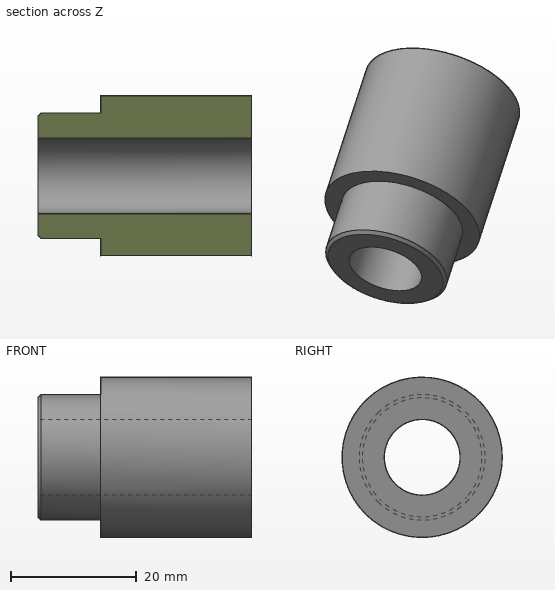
import cadquery as cq

total_length = 34.0
body_diameter = 25.5
neck_diameter = 20.0
neck_length = 10.0
neck_chamfer = 0.5
bore_diameter = 12.0

body_length = total_length - neck_length

neck = (
    cq.Workplane("YZ")
    .circle(neck_diameter / 2)
    .extrude(neck_length)
    .faces("<X")
    .chamfer(neck_chamfer)
)

body = (
    cq.Workplane("YZ")
    .workplane(offset=neck_length)
    .circle(body_diameter / 2)
    .extrude(body_length)
)

bore = cq.Workplane("YZ").circle(bore_diameter / 2).extrude(total_length)

result = neck.union(body).cut(bore)